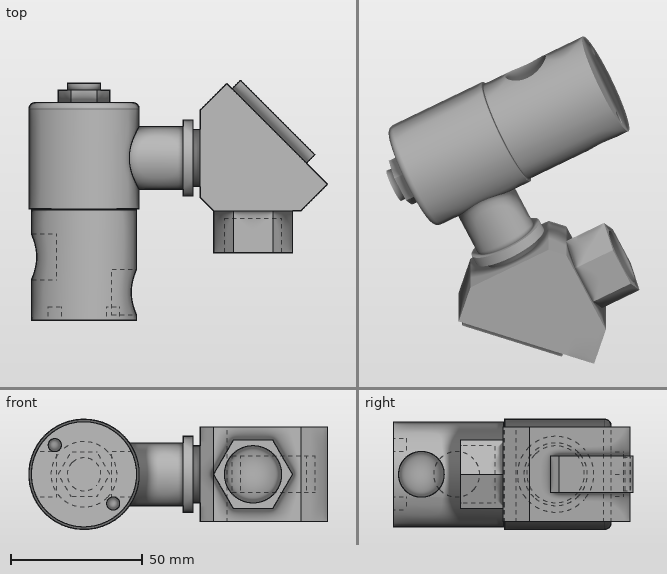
import cadquery as cq
import math


housing_radius = 21
housing_bottom = -19.4
housing_top = 21.1
housing_fillet = 2.5
nut_across_flats = 17
nut_height = 4.7
stud_diameter = 12.7
stud_height = 2.7

stem_diameter = 24
collar_start = 37.7
collar_thickness = 3.8
collar_diameter = 29
spigot_diameter = 21.8
spigot_length = 2.7

lower_radius = 20
lower_length = 42
neck_diameter = 25
neck_length = 0.35
port_diameter = 17.4
port_depth = 9.5
left_port_height = 24.1
right_port_height = 10.7
pin_hole_diameter = 5
pin_hole_depth = 5
pin_hole_offset = 11.1

block_half_width = 20.1
block_height = 36
block_heel_chamfer = 5
block_leg = 38.34
diagonal_distance = 13
plate_length = 40
plate_width = 14
plate_thickness = 4.5
plate_shift = -4.26
socket_across_flats = 26
socket_length = 16
socket_bore_diameter = 21.8
socket_bore_depth = 13


def cylinder_y(diameter, y_start, length, x=0, z=0):
    """Cylinder along +Y, starting at y_start."""
    plane = cq.Plane(origin=(x, y_start, z), xDir=(1, 0, 0), normal=(0, 1, 0))
    return cq.Workplane(plane).circle(diameter / 2).extrude(length)


def cylinder_x(diameter, x_start, length, y=0):
    """Cylinder along +X, starting at x_start."""
    plane = cq.Plane(origin=(x_start, y, 0), xDir=(0, 1, 0), normal=(1, 0, 0))
    return cq.Workplane(plane).circle(diameter / 2).extrude(length)


def hexagon_y(across_flats, y_start, length, x=0):
    """Hexagonal prism along +Y with two corners on the X direction."""
    plane = cq.Plane(origin=(x, y_start, 0), xDir=(1, 0, 0), normal=(0, 1, 0))
    across_corners = across_flats / math.cos(math.pi / 6)
    return cq.Workplane(plane).polygon(6, across_corners).extrude(length)


collar_end = collar_start + collar_thickness
block_start = collar_end + spigot_length
block_center = block_start + block_half_width


def make_housing():
    barrel = cylinder_y(2 * housing_radius, housing_bottom, housing_top - housing_bottom)
    barrel = barrel.faces(">Y").edges().fillet(housing_fillet)
    nut = hexagon_y(nut_across_flats, housing_top, nut_height)
    stud = cylinder_y(stud_diameter, housing_top + nut_height, stud_height)
    stem = cylinder_x(stem_diameter, 0, collar_start)
    collar = cylinder_x(collar_diameter, collar_start, collar_thickness)
    spigot = cylinder_x(spigot_diameter, collar_end, spigot_length)
    return barrel.union(nut).union(stud).union(stem).union(collar).union(spigot)


def make_lower_barrel():
    top = housing_bottom - neck_length
    bottom = top - lower_length
    barrel = cylinder_y(2 * lower_radius, bottom, lower_length)
    barrel = barrel.union(cylinder_y(neck_diameter, top, neck_length))
    left_port = cylinder_x(port_diameter, -lower_radius, port_depth, bottom + left_port_height)
    right_port = cylinder_x(
        port_diameter, lower_radius - port_depth, port_depth, bottom + right_port_height
    )
    barrel = barrel.cut(left_port).cut(right_port)
    for side in (-1, 1):
        pin_hole = cylinder_y(
            pin_hole_diameter, bottom, pin_hole_depth, side * pin_hole_offset, -side * pin_hole_offset
        )
        barrel = barrel.cut(pin_hole)
    return barrel


def make_elbow():
    half = block_half_width
    leg_end = block_leg - half
    diagonal_sum = diagonal_distance * math.sqrt(2)
    end_cut = (diagonal_sum + half - leg_end) / 2
    outline = [
        (-half, -half + block_heel_chamfer),
        (-half + block_heel_chamfer, -half),
        (leg_end, -half),
        (leg_end + end_cut, -half + end_cut),
        (-half + end_cut, leg_end + end_cut),
        (-half, leg_end),
    ]
    block = (
        cq.Workplane("XY", origin=(block_center, 0, -block_height / 2))
        .polyline(outline)
        .close()
        .extrude(block_height)
    )
    diagonal_plane = cq.Plane(
        origin=(block_center + diagonal_sum / 2, diagonal_sum / 2, 0),
        xDir=(1, -1, 0),
        normal=(1, 1, 0),
    )
    plate = (
        cq.Workplane(diagonal_plane)
        .center(plate_shift, 0)
        .rect(plate_length, plate_width)
        .extrude(plate_thickness)
    )
    socket_end = -half - socket_length
    socket = hexagon_y(socket_across_flats, socket_end, socket_length, block_center)
    bore = cylinder_y(socket_bore_diameter, socket_end, socket_bore_depth, block_center)
    return block.union(plate).union(socket).cut(bore)


housing = make_housing()
lower_barrel = make_lower_barrel()
elbow = make_elbow()

result = cq.Compound.makeCompound([housing.val(), lower_barrel.val(), elbow.val()])